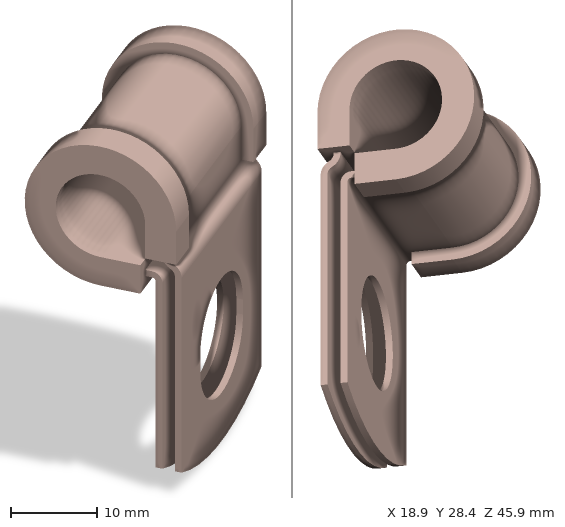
import cadquery as cq
import math

flange_radius = 9.4
bore_radius = 5.55
cushion_length = 28.45
flange_width = 4.05
upper_end_drop = 4.5
lower_end_reach = 4.95

strap_radius = 7.9
strap_thickness = 0.83
strap_width = 25.35
lower_leg_outer_x = 7.05
upper_leg_outer_x = 9.45
lower_bend_radius = 1.3
offset_bend_start = 4.6
offset_bend_height = 2.55

tab_bottom = 36.5
tab_arc_height = 2.95
hole_diameter = 13.5
hole_drop = 22.17
slot_length = 15.5

strap_inner_radius = strap_radius - strap_thickness


def extrude_centered(sketch, length):
    """Extrude an XZ outline symmetrically along Y."""
    return sketch.extrude(length / 2, both=True)


def loop_band(outer, inner, length):
    """Three-quarter ring continued by a vertical and a horizontal straight arm."""
    diagonal = math.sqrt(0.5)
    outline = (
        cq.Workplane("XZ")
        .moveTo(outer, -upper_end_drop)
        .lineTo(outer, 0)
        .threePointArc((-outer * diagonal, outer * diagonal), (0, -outer))
        .lineTo(lower_end_reach, -outer)
        .lineTo(lower_end_reach, -inner)
        .lineTo(0, -inner)
        .threePointArc((-inner * diagonal, inner * diagonal), (inner, 0))
        .lineTo(inner, -upper_end_drop)
        .close()
    )
    return extrude_centered(outline, length)


def cushion():
    """Rubber loop, level with the strap between its two end flanges."""
    body = loop_band(strap_radius, bore_radius, cushion_length)
    flange = loop_band(flange_radius, bore_radius, flange_width)
    flange_offset = (cushion_length - flange_width) / 2
    for side in (-1, 1):
        body = body.union(flange.translate((0, side * flange_offset, 0)))
    return body


def lower_leg():
    """Strap leaving the horizontal arm and turning straight down."""
    inner_x = lower_leg_outer_x - strap_thickness
    inner_bend_radius = lower_bend_radius - strap_thickness
    bend_x = lower_leg_outer_x - lower_bend_radius
    bend_z = -strap_inner_radius - lower_bend_radius
    outline = (
        cq.Workplane("XZ")
        .moveTo(0, -strap_inner_radius)
        .lineTo(bend_x, -strap_inner_radius)
        .radiusArc((lower_leg_outer_x, bend_z), lower_bend_radius)
        .lineTo(lower_leg_outer_x, -tab_bottom)
        .lineTo(inner_x, -tab_bottom)
        .lineTo(inner_x, bend_z)
        .radiusArc((bend_x, -strap_radius), -inner_bend_radius)
        .lineTo(0, -strap_radius)
        .close()
    )
    return extrude_centered(outline, strap_width)


def upper_leg():
    """Strap leaving the vertical arm and stepping outward through two equal bends."""
    inner_x = upper_leg_outer_x - strap_thickness
    shift = upper_leg_outer_x - strap_radius
    middle_radius = (shift**2 + offset_bend_height**2) / (4 * shift)
    wide_radius = middle_radius + strap_thickness / 2
    tight_radius = middle_radius - strap_thickness / 2
    bend_angle = 2 * math.atan(shift / offset_bend_height)
    start_z = -offset_bend_start
    end_z = start_z - offset_bend_height

    middle_x = (strap_inner_radius + upper_leg_outer_x) / 2
    middle_z = (start_z + end_z) / 2
    half_x = strap_thickness / 2 * math.cos(bend_angle)
    half_z = strap_thickness / 2 * math.sin(bend_angle)
    outer_middle = (middle_x + half_x, middle_z + half_z)
    inner_middle = (middle_x - half_x, middle_z - half_z)

    outline = (
        cq.Workplane("XZ")
        .moveTo(strap_radius, 0)
        .lineTo(strap_radius, start_z)
        .radiusArc(outer_middle, -tight_radius)
        .radiusArc((upper_leg_outer_x, end_z), wide_radius)
        .lineTo(upper_leg_outer_x, -tab_bottom)
        .lineTo(inner_x, -tab_bottom)
        .lineTo(inner_x, end_z)
        .radiusArc(inner_middle, -tight_radius)
        .radiusArc((strap_inner_radius, start_z), wide_radius)
        .lineTo(strap_inner_radius, 0)
        .close()
    )
    return extrude_centered(outline, strap_width)


def tab_profile():
    """Block with the rounded tab end, spanning both legs along X."""
    half_width = strap_width / 2
    corner_z = tab_arc_height - tab_bottom
    return (
        cq.Workplane("YZ")
        .moveTo(-half_width, 0)
        .lineTo(-half_width, corner_z)
        .threePointArc((0, -tab_bottom), (half_width, corner_z))
        .lineTo(half_width, 0)
        .close()
        .extrude(upper_leg_outer_x)
    )


def hole_start():
    """Workplane facing +X at the center of the bolt openings."""
    return cq.Workplane("YZ").center(0, -hole_drop)


bolt_hole = hole_start().circle(hole_diameter / 2).extrude(upper_leg_outer_x)
bolt_slot = hole_start().slot2D(slot_length, hole_diameter, 90).extrude(upper_leg_outer_x)

tab = tab_profile()
lower_tab = lower_leg().intersect(tab).cut(bolt_hole)
upper_tab = upper_leg().intersect(tab).cut(bolt_slot)
result = cushion().union(lower_tab).union(upper_tab)